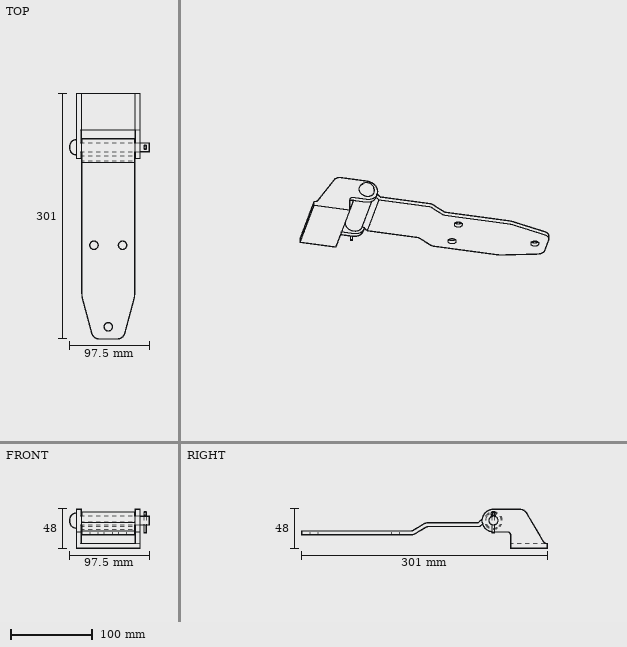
import cadquery as cq
import math


overall_length = 301.0

bracket_width = 78.0
bracket_height = 48.0
side_thickness = 6.0
base_thickness = 6.0
base_length = 45.0
lug_radius = 14.0
bracket_back = 66.0
base_bottom = lug_radius - bracket_height
slope_angle = 59.5
slope_foot_flat = 0.5
foot_fillet = 5.0
shoulder_fillet = 10.0
throat_fillet = 4.0

pin_radius = 5.5
pin_head_radius = 9.5
pin_head_height = 8.25
pin_end_length = 11.25

strap_width = 65.0
strap_thickness = 5.0
knuckle_radius = 10.75
neck_angle = 42.0
upper_level = -2.5
lower_level = upper_level - 10.0
bend_angle = 31.3
bend_inner_radius = 5.0
bend_outer_radius = bend_inner_radius + strap_thickness
step_start = -83.0
strap_end = bracket_back - overall_length
taper_length = 52.4
taper_angle = 15.0
taper_fillet = 25.0
tip_fillet = 10.0
screw_hole_diameter = 10.0
screw_hole_spacing = 35.0
tip_hole_inset = 15.0
hole_row_spacing = 100.0
tip_hole_y = strap_end + tip_hole_inset
pair_holes_y = tip_hole_y + hole_row_spacing

cotter_gap = 6.25
cotter_x = bracket_width / 2 + cotter_gap
cotter_radius = 1.5
cotter_bottom = -15.0
ring_radius = 3.0
ring_center_z = 8.3


def tan_deg(angle):
    return math.tan(math.radians(angle))


def edge_along_x(y, z):
    """Selector for the edge parallel to X that passes through (y, z)."""
    reach = bracket_width + strap_width
    near = 0.01
    return cq.selectors.BoxSelector(
        (-reach, y - near, z - near), (reach, y + near, z + near)
    )


def make_bracket():
    base_front = bracket_back - base_length
    base_top = base_bottom + base_thickness
    foot_y = bracket_back - slope_foot_flat - foot_fillet * tan_deg(slope_angle / 2)
    shoulder_y = foot_y - (lug_radius - base_top) / tan_deg(slope_angle)
    body = (
        cq.Workplane("YZ")
        .moveTo(bracket_back, base_bottom)
        .lineTo(bracket_back, base_top)
        .lineTo(foot_y, base_top)
        .lineTo(shoulder_y, lug_radius)
        .lineTo(0, lug_radius)
        .threePointArc((-lug_radius, 0), (0, -lug_radius))
        .lineTo(base_front, -lug_radius)
        .lineTo(base_front, base_bottom)
        .close()
        .extrude(bracket_width / 2, both=True)
    )
    body = body.edges(edge_along_x(foot_y, base_top)).fillet(foot_fillet)
    body = body.edges(edge_along_x(shoulder_y, lug_radius)).fillet(shoulder_fillet)
    body = body.edges(edge_along_x(base_front, -lug_radius)).fillet(throat_fillet)

    channel = (
        cq.Workplane("XY")
        .box(
            bracket_width - 2 * side_thickness,
            bracket_back + lug_radius,
            bracket_height,
            centered=(True, False, False),
        )
        .translate((0, -lug_radius, base_top))
    )
    pin_hole = cq.Workplane("YZ").circle(pin_radius).extrude(bracket_width / 2, both=True)
    return body.cut(channel).cut(pin_hole)


def make_strap():
    neck = math.radians(neck_angle)
    tangent_y = -knuckle_radius * math.sin(neck)
    tangent_z = knuckle_radius * math.cos(neck)
    neck_end = tangent_y - (tangent_z - upper_level) / math.tan(neck)
    step_end = step_start - (upper_level - lower_level) / tan_deg(bend_angle)
    neck_shift = strap_thickness * math.tan(neck / 2)
    bend_shift = strap_thickness * tan_deg(bend_angle / 2)
    under_start = (
        tangent_y + strap_thickness * math.sin(neck),
        tangent_z - strap_thickness * math.cos(neck),
    )
    upper_under = upper_level - strap_thickness
    lower_under = lower_level - strap_thickness
    plate = (
        cq.Workplane("YZ")
        .moveTo(tangent_y, tangent_z)
        .lineTo(neck_end, upper_level)
        .lineTo(step_start, upper_level)
        .lineTo(step_end, lower_level)
        .lineTo(strap_end, lower_level)
        .lineTo(strap_end, lower_under)
        .lineTo(step_end + bend_shift, lower_under)
        .lineTo(step_start + bend_shift, upper_under)
        .lineTo(neck_end + neck_shift, upper_under)
        .lineTo(*under_start)
        .close()
        .extrude(strap_width / 2, both=True)
    )
    for y, z in ((step_start, upper_level), (step_end + bend_shift, lower_under)):
        plate = plate.edges(edge_along_x(y, z)).fillet(bend_outer_radius)
    for y, z in ((step_start + bend_shift, upper_under), (step_end, lower_level)):
        plate = plate.edges(edge_along_x(y, z)).fillet(bend_inner_radius)

    half_width = strap_width / 2
    tip_half_width = half_width - taper_length * tan_deg(taper_angle)
    taper_start = strap_end + taper_length
    outline = (
        cq.Workplane("XY")
        .moveTo(-half_width, knuckle_radius)
        .lineTo(-half_width, taper_start)
        .lineTo(-tip_half_width, strap_end)
        .lineTo(tip_half_width, strap_end)
        .lineTo(half_width, taper_start)
        .lineTo(half_width, knuckle_radius)
        .close()
        .extrude(2 * knuckle_radius, both=True)
    )
    for x, y, radius in (
        (tip_half_width, strap_end, tip_fillet),
        (half_width, taper_start, taper_fillet),
    ):
        for side in (-1, 1):
            corner = cq.selectors.NearestToPointSelector((side * x, y, 0))
            outline = outline.edges("|Z").edges(corner).fillet(radius)

    knuckle = cq.Workplane("YZ").circle(knuckle_radius).extrude(half_width, both=True)
    pin_hole = cq.Workplane("YZ").circle(pin_radius).extrude(half_width, both=True)
    screw_holes = (
        cq.Workplane("XY", origin=(0, 0, lower_under))
        .pushPoints([
            (-screw_hole_spacing / 2, pair_holes_y),
            (screw_hole_spacing / 2, pair_holes_y),
            (0, tip_hole_y),
        ])
        .circle(screw_hole_diameter / 2)
        .extrude(strap_thickness)
    )
    return plate.intersect(outline).union(knuckle).cut(pin_hole).cut(screw_holes)


def make_cotter():
    shank = (
        cq.Workplane("XY", origin=(cotter_x, 0, cotter_bottom))
        .circle(cotter_radius)
        .extrude(ring_center_z - ring_radius + cotter_radius / 2 - cotter_bottom)
    )
    bore_radius = ring_radius - cotter_radius
    ring = (
        cq.Workplane("XZ", origin=(cotter_x, 0, ring_center_z))
        .moveTo(-cotter_radius, bore_radius)
        .threePointArc((0, ring_radius), (cotter_radius, bore_radius))
        .close()
        .revolve(360, (0, 0), (1, 0))
    )
    return shank.union(ring)


def make_pin(cotter):
    """Pin with a rounded head, recessed where the cotter goes through it."""
    head_face = -bracket_width / 2
    shaft_end = bracket_width / 2 + pin_end_length
    shaft = (
        cq.Workplane("YZ", origin=(head_face, 0, 0))
        .circle(pin_radius)
        .extrude(shaft_end - head_face)
    )
    crown_radius = pin_head_radius - pin_head_height
    diagonal = pin_head_height * math.sqrt(0.5)
    head = (
        cq.Workplane("XY", origin=(head_face, 0, 0))
        .moveTo(0, 0)
        .lineTo(0, pin_head_radius)
        .threePointArc(
            (-diagonal, crown_radius + diagonal), (-pin_head_height, crown_radius)
        )
        .lineTo(-pin_head_height, 0)
        .close()
        .revolve(360, (0, 0), (1, 0))
    )
    return shaft.union(head).cut(cotter)


bracket = make_bracket()
strap = make_strap()
cotter = make_cotter()
pin = make_pin(cotter)

result = cq.Compound.makeCompound([bracket.val(), strap.val(), pin.val(), cotter.val()])